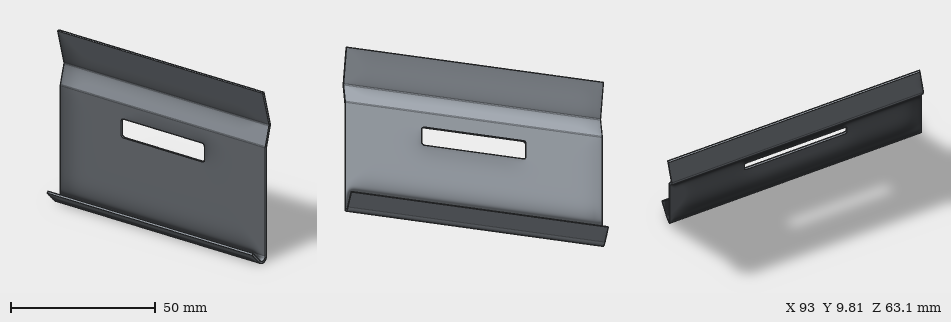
import cadquery as cq
import math

width = 93.0
thickness = 0.8

hook_inner_radius = 1.5
crease_inner_radius = 1.0
hook_angle = 135.0
crease_angle = 15.0

lip_length = 5.5
wall_length = 40.0
lower_flange_length = 7.35
upper_flange_length = 12.9

window_width = 37.8
window_height = 7.0
window_center_z = 33.5
window_corner_radius = 1.0

hook_outer_radius = hook_inner_radius + thickness


def polar(center, radius, angle):
    """Point (y, z) at a distance and direction from a center."""
    y = center[0] + radius * math.cos(math.radians(angle))
    z = center[1] + radius * math.sin(math.radians(angle))
    return (y, z)


def flat(start, direction, length):
    """Flat sheet extruded across the width; start lies on the middle of the sheet."""
    end = polar(start, length, direction)
    corners = [
        polar(start, thickness / 2, direction + 90),
        polar(start, thickness / 2, direction - 90),
        polar(end, thickness / 2, direction - 90),
        polar(end, thickness / 2, direction + 90),
    ]
    solid = cq.Workplane("YZ").polyline(corners).close().extrude(width)
    return solid, end, direction


def bend(start, direction, angle, inner_radius):
    """Curved sheet turning by a signed angle, counterclockwise in the YZ plane when positive."""
    turn = math.copysign(90, angle)
    outer_radius = inner_radius + thickness
    middle_radius = inner_radius + thickness / 2
    center = polar(start, middle_radius, direction + turn)
    start_angle = direction - turn
    middle_angle = start_angle + angle / 2
    end_angle = start_angle + angle
    solid = (
        cq.Workplane("YZ")
        .moveTo(*polar(center, outer_radius, start_angle))
        .threePointArc(polar(center, outer_radius, middle_angle), polar(center, outer_radius, end_angle))
        .lineTo(*polar(center, inner_radius, end_angle))
        .threePointArc(polar(center, inner_radius, middle_angle), polar(center, inner_radius, start_angle))
        .close()
        .extrude(width)
    )
    return solid, polar(center, middle_radius, end_angle), direction + angle


def bent_sheet():
    """Join the lip, hook, wall and two flanges end to end, with the hook bottom at Z = 0."""
    hook_center = (-hook_outer_radius, hook_outer_radius)
    lip_direction = 90 - hook_angle
    hook_start = polar(hook_center, hook_inner_radius + thickness / 2, -hook_angle)
    point = polar(hook_start, -lip_length, lip_direction)
    direction = lip_direction

    steps = [
        (flat, (lip_length,)),
        (bend, (hook_angle, hook_inner_radius)),
        (flat, (wall_length,)),
        (bend, (-crease_angle, crease_inner_radius)),
        (flat, (lower_flange_length,)),
        (bend, (2 * crease_angle, crease_inner_radius)),
        (flat, (upper_flange_length,)),
    ]
    sheet = cq.Workplane("YZ")
    for make_piece, sizes in steps:
        piece, point, direction = make_piece(point, direction, *sizes)
        sheet = sheet.add(piece)
    return sheet.combine()


def window_cutter():
    """Rounded rectangular block that passes through the wall only."""
    return (
        cq.Workplane("XY")
        .box(window_width, 4 * thickness, window_height)
        .edges("|Y")
        .fillet(window_corner_radius)
        .translate((width / 2, -thickness / 2, window_center_z))
    )


result = bent_sheet().cut(window_cutter()).solids()